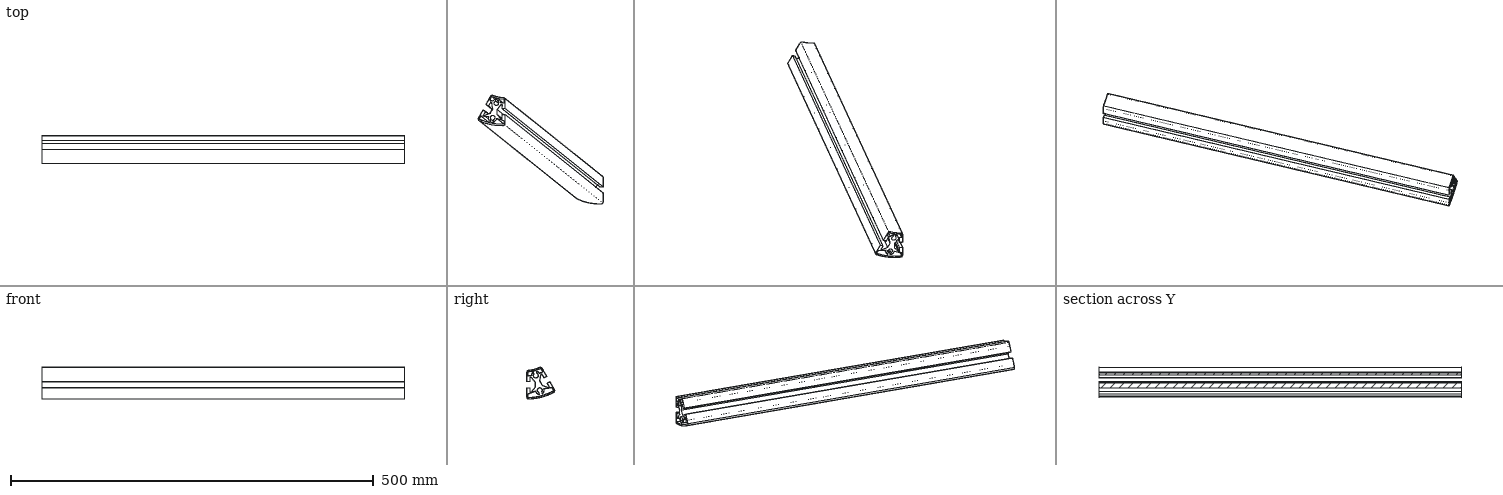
import cadquery as cq
import math

length = 500.0
wedge_angle = 30.0
outer_radius = 79.5
inner_radius = 39.5
corner_radius = 3.0

arc_wall = 2.25
side_wall = 1.75
outer_floor_middle = 68.5
outer_floor_side = 70.5
inner_floor_middle = 47.5
inner_floor_side = 46.0

outer_channel_center = 69.5
inner_channel_center = 48.5
channel_hole_radius = 3.25
channel_body_radius = 6.0
channel_mouth_width = 4.0

slot_center = (inner_radius + outer_radius) / 2
slot_opening = 8.5
lip_depth = 4.5
slot_shoulder_depth = 6.0
slot_depth = 11.5
slot_width = 20.5
slot_floor_width = 7.0

half_angle = math.radians(wedge_angle / 2)


def polar(radius, angle):
    """Point at a distance from the apex; angle zero is the middle line, pointing down."""
    return (radius * math.sin(angle), -radius * math.cos(angle))


def section():
    return cq.Workplane("YZ")


def sector(small_radius, large_radius):
    """Ring sector around the middle line, between the two flat sides."""
    return (
        section()
        .moveTo(*polar(small_radius, -half_angle))
        .threePointArc(polar(small_radius, 0), polar(small_radius, half_angle))
        .lineTo(*polar(large_radius, half_angle))
        .threePointArc(polar(large_radius, 0), polar(large_radius, -half_angle))
        .close()
        .extrude(length)
    )


def chamber(arc_radius, floor_middle, floor_side):
    """Hollow between a curved wall and a floor that bends at the middle line."""
    arc_angle = half_angle - math.asin(side_wall / arc_radius)
    floor_half_width = floor_side * math.tan(half_angle) - side_wall / math.cos(half_angle)
    return (
        section()
        .moveTo(*polar(arc_radius, -arc_angle))
        .threePointArc(polar(arc_radius, 0), polar(arc_radius, arc_angle))
        .lineTo(floor_half_width, -floor_side)
        .lineTo(0, -floor_middle)
        .lineTo(-floor_half_width, -floor_side)
        .close()
        .extrude(length)
    )


def cylinder(center, radius):
    return section().center(0, -center).circle(radius).extrude(length)


def channel_mouth(center, direction):
    """Gap from the channel's centre out to the rim of its body."""
    middle = center + direction * channel_body_radius / 2
    return section().center(0, -middle).rect(channel_mouth_width, channel_body_radius).extrude(length)


def side_slot():
    """T-slot cut into the flat side that lies in the XZ plane."""
    half_profile = [
        (0, slot_opening / 2),
        (lip_depth, slot_opening / 2),
        (lip_depth, slot_width / 2),
        (slot_shoulder_depth, slot_width / 2),
        (slot_depth, slot_floor_width / 2),
    ]
    mirrored = [(depth, -offset) for depth, offset in reversed(half_profile)]
    points = [(depth, offset - slot_center) for depth, offset in half_profile + mirrored]
    return section().polyline(points).close().extrude(length)


profile = sector(inner_radius, outer_radius).edges("|X").fillet(corner_radius)

chambers = [
    (outer_radius - arc_wall, outer_floor_middle, outer_floor_side, outer_channel_center, 1),
    (inner_radius + arc_wall, inner_floor_middle, inner_floor_side, inner_channel_center, -1),
]
for arc_radius, floor_middle, floor_side, center, mouth_direction in chambers:
    profile = profile.cut(chamber(arc_radius, floor_middle, floor_side))
    profile = profile.union(cylinder(center, channel_body_radius))
    profile = profile.cut(cylinder(center, channel_hole_radius))
    profile = profile.cut(channel_mouth(center, mouth_direction))

profile = profile.rotate((0, 0, 0), (1, 0, 0), wedge_angle / 2)
slot = side_slot()
opposite_slot = slot.mirror("XZ").rotate((0, 0, 0), (1, 0, 0), wedge_angle)
result = profile.cut(slot).cut(opposite_slot)